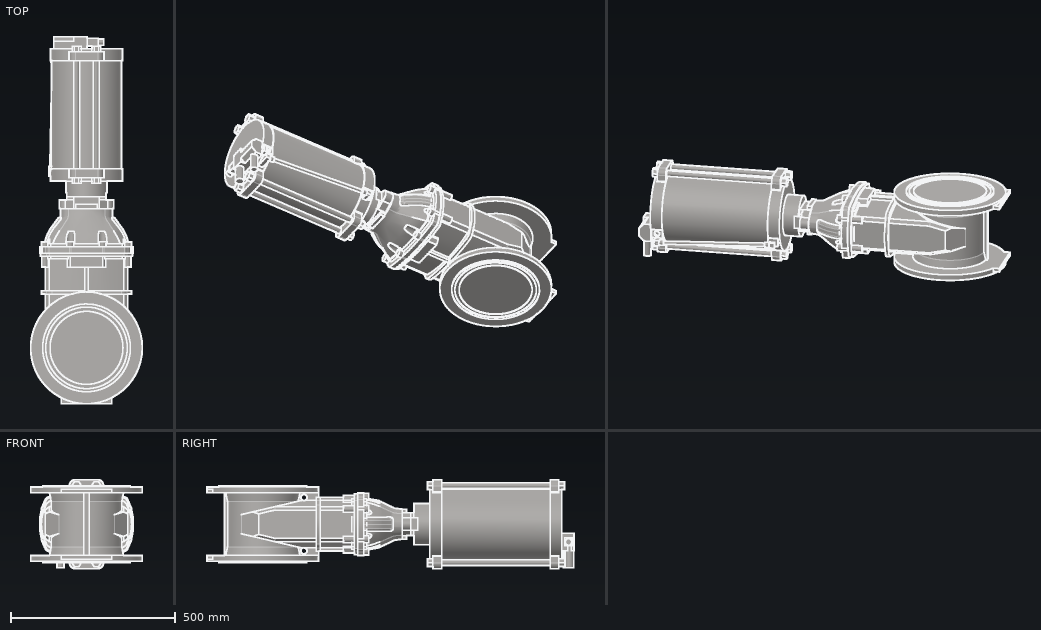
import cadquery as cq
import math


FLANGE_RADIUS = 170.0
FACE_HALF = 116.5
RAISED_FACE_RADIUS = 133.5
RAISED_FACE_HEIGHT = 3.5
FLANGE_THICKNESS = 18.0
FLANGE_RIM_Z = FACE_HALF - RAISED_FACE_HEIGHT
FLANGE_BACK_Z = FLANGE_RIM_Z - FLANGE_THICKNESS
GROOVE_OUTER_RADIUS = 124.0
GROOVE_INNER_RADIUS = 111.0
GROOVE_DEPTH = 2.0
BARREL_RADIUS = 107.5
BARREL_END_RADIUS = 113.0
BARREL_HALF = 69.0
FOOT_HALF_WIDTH = 77.0
FOOT_THICKNESS = 11.0
FOOT_INNER_Y = -140.0
FRONT_RIB_HALF_WIDTH = 8.5
FRONT_RIB_REACH = 117.0

HOUSING_HALF_X = 126.0
HOUSING_SIDE_HALF_Z = 43.0
HOUSING_SHOULDER_X = 113.0
HOUSING_SHOULDER_Z = 53.0
HOUSING_CROWN_Z = 72.0
HOUSING_TAPER_Y = 117.0
HOUSING_KNEE_Y = -13.0
HOUSING_END_Y = -100.0
HOUSING_END_HALF_Z = 21.0
BAND_Y = (163.0, 174.0)
BAND_HALF_X = 137.0
BAND_HALF_Z = 82.0
BAND_CORNER = 25.0
CENTRE_WEB_HALF_WIDTH = 6.0
CENTRE_WEB_HALF_Z = 82.0
LUG_WEB_Y = (112.0, 170.0)
LUG_HOLE_Y = 125.0
LUG_HOLE_Z = 81.0
LUG_HOLE_RADIUS = 9.0

JOINT_Y = (278.0, 307.0)
JOINT_SPLIT_Y = 288.0
JOINT_HALF_X = 143.0
JOINT_HALF_Z = 96.0
PLINTH_Y = (271.0, 316.0)
PLINTH_HALF_X = 128.0
PLINTH_HALF_Z = 80.0
JOINT_STEP = 3.0
JOINT_CORNER = 14.0
ARCH_CORNER = 0.85
BOLT_PLACES = ((49.0, 83.0), (126.0, 46.0))
BOLT_HEAD_RADIUS = 11.0
BOLT_HEAD_HEIGHT = 15.0
BOSS_RADIUS = 10.0
BOSS_END_Y = 245.0
PAD_HALF_WIDTH = 58.0
PAD_FACE_HALF_WIDTH = 49.0
PAD_HALF_Z = 88.0
BOLT_POCKET_RADIUS = 14.0
BOLT_POCKET_INSET = 6.0
BOLT_POCKET_END_Y = 355.0

DOME_SECTIONS = (
    (307.0, 124.0, 79.0, ARCH_CORNER),
    (335.0, 118.0, 76.5, 0.80),
    (360.0, 106.0, 69.0, 0.75),
    (382.0, 90.0, 58.0, 0.72),
    (397.0, 80.0, 50.0, 0.71),
    (423.0, 79.0, 46.0, 0.71),
)
SIDE_RIB_HALF_Z = 22.0
SIDE_RIB_HEIGHT = 5.0
SIDE_RIB_ROUND = 12.0
SIDE_RIB_EDGE = 10.0

NECK_FLANGE_Y = (423.0, 450.0)
NECK_FLANGE_HALF_X = 83.0
EAR_RADIUS = 19.0
GLAND_FOOT_HALF_X = 33.0
GLAND_FOOT_HALF_Z = 46.0
GLAND_FOOT_END_Y = 437.0
GLAND_HALF_X = 39.0
GLAND_HALF_Z = 35.0
STEM_HOUSING_RADIUS = 63.0
STEM_HOUSING_END_Y = 459.0
STEM_FLAT_X = 60.0
STEM_FLAT_END_Y = 471.0

TUBE_Y = (544.0, 873.0)
TUBE_RADIUS = 107.0
CAP_RADIUS = 110.0
FRONT_CAP_START_Y = 507.0
REAR_CAP_END_Y = 909.0
ROD_X = 30.0
ROD_Z = 117.0
ROD_RADIUS = 9.0
NUT_DIAMETER = 28.0
NUT_HEIGHT = 17.0
LUG_LENGTH = 27.0
LUG_TOP_Z = 135.5
LUG_BASE_Z = 85.0
LUG_BASE_HALF_X = 62.0
LUG_HALF_X = 52.0
LUG_SHOULDER_Z = 98.0
LUG_CORNER = 18.0

VALVE_END_Y = 946.0
VALVE_X = (-100.0, 2.0)
VALVE_Z = (-81.0, -27.0)
VALVE_STEP_X = -38.0
VALVE_BEVEL = 15.0
COIL_X = -79.0
COIL_Y = 924.0
COIL_RADIUS = 11.0
COIL_END_Z = -133.0
SECOND_COIL_X = -10.0
SECOND_COIL_Y = 932.0
SECOND_COIL_RADIUS = 13.0
CONNECTOR_X = (2.0, 36.0)
CONNECTOR_HALF_SIZE = 12.0
CONNECTOR_Y = 929.0
CONNECTOR_Z = -54.0
CONNECTOR_TIP_X = 53.0
CONNECTOR_TIP_RADIUS = 10.0
AIR_LINE_REAR = (-100.0, 890.0, -83.0)
AIR_LINE_FRONT = (-107.0, 530.0, -61.0)
AIR_LINE_RADIUS = 5.0
ELBOW_SIZE = 16.0
ELBOW_X_INNER = -60.0
FERRULE_RADIUS = 8.0
FERRULE_LENGTH = 22.0
PORT_BLOCK_X = (-105.0, -60.0)
PORT_BLOCK_Z = (-66.0, -41.0)
PORT_RADIUS = 8.0
PORT_DEPTH = 8.0
FRONT_PORT_Y = (513.0, TUBE_Y[0])
REAR_PORT_Y = (TUBE_Y[1], 905.0)


def mirrored(shape, plane):
    """The shape together with its mirror image."""
    return shape.union(shape.mirror(plane))


def box(x_range, y_range, z_range):
    """Box between the given limits."""
    sizes = [limits[1] - limits[0] for limits in (x_range, y_range, z_range)]
    corner = (x_range[0], y_range[0], z_range[0])
    return cq.Workplane("XY", origin=corner).box(*sizes, centered=False)


def section_at(y):
    """Sketch plane across the stem axis at height y; local axes are X and Z."""
    return cq.Workplane("XZ", origin=(0, y, 0))


def stem_disc(radius, y_start, y_end, x=0.0, z=0.0):
    """Cylinder parallel to the stem axis."""
    return section_at(y_start).center(x, z).circle(radius).extrude(y_start - y_end)


def flow_disc(radius, z_start, z_end):
    """Cylinder along the flow axis."""
    return cq.Workplane("XY", origin=(0, 0, z_start)).circle(radius).extrude(z_end - z_start)


def arched_outline(plane, half_x, half_z, corner_share=ARCH_CORNER):
    """Rectangle whose four sides bulge outward as arcs."""
    corner_x = half_x * corner_share
    corner_z = half_z * corner_share
    return (
        plane.moveTo(corner_x, -corner_z)
        .threePointArc((half_x, 0), (corner_x, corner_z))
        .threePointArc((0, half_z), (-corner_x, corner_z))
        .threePointArc((-half_x, 0), (-corner_x, -corner_z))
        .threePointArc((0, -half_z), (corner_x, -corner_z))
        .close()
    )


def pipe_flange():
    """Upper flange with raised face, sealing groove and foot."""
    flange = flow_disc(FLANGE_RADIUS, FLANGE_BACK_Z, FLANGE_RIM_Z)
    flange = flange.union(flow_disc(RAISED_FACE_RADIUS, FLANGE_BACK_Z, FACE_HALF))
    groove = flow_disc(GROOVE_OUTER_RADIUS, FACE_HALF - GROOVE_DEPTH, FACE_HALF)
    groove = groove.cut(flow_disc(GROOVE_INNER_RADIUS, FACE_HALF - GROOVE_DEPTH, FACE_HALF))
    foot = box(
        (-FOOT_HALF_WIDTH, FOOT_HALF_WIDTH),
        (-FLANGE_RADIUS, FOOT_INNER_Y),
        (FLANGE_BACK_Z, FLANGE_BACK_Z + FOOT_THICKNESS),
    )
    return flange.cut(groove).union(foot)


def barrel():
    """Flow barrel, flaring toward both flanges, with a rib down its front."""
    profile = (
        cq.Workplane("XZ")
        .polyline([
            (0, -FLANGE_BACK_Z),
            (BARREL_END_RADIUS, -FLANGE_BACK_Z),
            (BARREL_RADIUS, -BARREL_HALF),
            (BARREL_RADIUS, BARREL_HALF),
            (BARREL_END_RADIUS, FLANGE_BACK_Z),
            (0, FLANGE_BACK_Z),
        ])
        .close()
    )
    rib = box(
        (-FRONT_RIB_HALF_WIDTH, FRONT_RIB_HALF_WIDTH),
        (-FRONT_RIB_REACH, 0),
        (-FLANGE_BACK_Z, FLANGE_BACK_Z),
    )
    return profile.revolve(360, (0, 0), (0, 1)).union(rib)


def tapered_side(x):
    """Side outline of the housing in the plane at x, with its height shrinking toward the barrel."""
    end_y = JOINT_Y[1]
    return (
        cq.Workplane("YZ", origin=(x, 0, 0))
        .polyline([
            (end_y, HOUSING_CROWN_Z),
            (HOUSING_TAPER_Y, HOUSING_CROWN_Z),
            (HOUSING_END_Y, HOUSING_END_HALF_Z),
            (HOUSING_END_Y, -HOUSING_END_HALF_Z),
            (HOUSING_TAPER_Y, -HOUSING_CROWN_Z),
            (end_y, -HOUSING_CROWN_Z),
        ])
        .close()
    )


def gate_housing():
    """Arched box from the bonnet joint, tapering into the barrel sides."""
    top_y = JOINT_Y[0]
    blank = (
        section_at(top_y)
        .moveTo(HOUSING_HALF_X, -HOUSING_SIDE_HALF_Z)
        .lineTo(HOUSING_HALF_X, HOUSING_SIDE_HALF_Z)
        .lineTo(HOUSING_SHOULDER_X, HOUSING_SHOULDER_Z)
        .threePointArc((0, HOUSING_CROWN_Z), (-HOUSING_SHOULDER_X, HOUSING_SHOULDER_Z))
        .lineTo(-HOUSING_HALF_X, HOUSING_SIDE_HALF_Z)
        .lineTo(-HOUSING_HALF_X, -HOUSING_SIDE_HALF_Z)
        .lineTo(-HOUSING_SHOULDER_X, -HOUSING_SHOULDER_Z)
        .threePointArc((0, -HOUSING_CROWN_Z), (HOUSING_SHOULDER_X, -HOUSING_SHOULDER_Z))
        .close()
        .extrude(top_y - HOUSING_END_Y)
    )
    knee_distance = math.hypot(HOUSING_HALF_X, HOUSING_KNEE_Y)
    tip_angle = math.atan2(HOUSING_KNEE_Y, HOUSING_HALF_X) - math.acos(BARREL_RADIUS / knee_distance)
    tip_x = BARREL_RADIUS * math.cos(tip_angle)
    tip_y = BARREL_RADIUS * math.sin(tip_angle)
    plan = (
        cq.Workplane("XY")
        .polyline([
            (HOUSING_HALF_X, top_y),
            (HOUSING_HALF_X, HOUSING_KNEE_Y),
            (tip_x, tip_y),
            (-tip_x, tip_y),
            (-HOUSING_HALF_X, HOUSING_KNEE_Y),
            (-HOUSING_HALF_X, top_y),
        ])
        .close()
        .extrude(HOUSING_CROWN_Z, both=True)
    )
    core = tapered_side(0).extrude(HOUSING_SHOULDER_X)
    edge_width = HOUSING_HALF_X - HOUSING_SHOULDER_X
    edge_drop = HOUSING_SHOULDER_Z - HOUSING_SIDE_HALF_Z
    edge_angle = math.degrees(math.atan2(edge_drop, edge_width))
    bevelled_edge = tapered_side(HOUSING_SHOULDER_X).extrude(edge_width, taper=edge_angle)
    return blank.intersect(plan).intersect(mirrored(core.union(bevelled_edge), "YZ"))


def housing_ribs():
    """Band around the housing, web along its centre and lifting lugs under the flanges."""
    band = arched_outline(section_at(BAND_Y[1]), BAND_HALF_X, BAND_HALF_Z)
    band = band.extrude(BAND_Y[1] - BAND_Y[0]).edges("|Y").fillet(BAND_CORNER)
    web_x = (-CENTRE_WEB_HALF_WIDTH, CENTRE_WEB_HALF_WIDTH)
    centre_web = box(web_x, (BAND_Y[0], JOINT_Y[0]), (-CENTRE_WEB_HALF_Z, CENTRE_WEB_HALF_Z))
    lug_web = box(web_x, (0, LUG_WEB_Y[1]), (-FLANGE_BACK_Z, FLANGE_BACK_Z))
    holes = (
        cq.Workplane("YZ")
        .pushPoints([(LUG_HOLE_Y, LUG_HOLE_Z), (LUG_HOLE_Y, -LUG_HOLE_Z)])
        .circle(LUG_HOLE_RADIUS)
        .extrude(HOUSING_HALF_X, both=True)
    )
    return band.union(centre_web).union(lug_web).cut(holes)


def bonnet_joint():
    """Two bolted plates with pads and bosses on the housing side."""
    lower = arched_outline(
        section_at(JOINT_SPLIT_Y), JOINT_HALF_X - JOINT_STEP, JOINT_HALF_Z - JOINT_STEP
    ).extrude(JOINT_SPLIT_Y - JOINT_Y[0])
    upper = arched_outline(section_at(JOINT_Y[1]), JOINT_HALF_X, JOINT_HALF_Z)
    upper = upper.extrude(JOINT_Y[1] - JOINT_SPLIT_Y)
    joint = lower.edges("|Y").fillet(JOINT_CORNER).union(upper.edges("|Y").fillet(JOINT_CORNER))
    plinth = arched_outline(section_at(PLINTH_Y[1]), PLINTH_HALF_X, PLINTH_HALF_Z)
    joint = joint.union(plinth.extrude(PLINTH_Y[1] - PLINTH_Y[0]))
    pad = (
        section_at(JOINT_Y[0])
        .polyline([
            (-PAD_HALF_WIDTH, 0),
            (PAD_HALF_WIDTH, 0),
            (PAD_HALF_WIDTH, HOUSING_CROWN_Z),
            (PAD_FACE_HALF_WIDTH, PAD_HALF_Z),
            (-PAD_FACE_HALF_WIDTH, PAD_HALF_Z),
            (-PAD_HALF_WIDTH, HOUSING_CROWN_Z),
        ])
        .close()
        .extrude(JOINT_Y[0] - BOSS_END_Y)
    )
    side_x, side_z = BOLT_PLACES[1]
    boss = stem_disc(BOSS_RADIUS, BOSS_END_Y, JOINT_Y[0], side_x, side_z)
    bosses = mirrored(mirrored(boss, "YZ"), "XY")
    return joint.union(mirrored(pad, "XY")).union(bosses)


def bonnet_bolts():
    """Bolt heads on the dome side of the joint."""
    head_end = JOINT_Y[1] + BOLT_HEAD_HEIGHT
    heads = cq.Workplane()
    for x, z in BOLT_PLACES:
        heads = heads.union(stem_disc(BOLT_HEAD_RADIUS, JOINT_SPLIT_Y, head_end, x, z))
    return mirrored(mirrored(heads, "YZ"), "XY")


def dome():
    """Bonnet dome with a rounded rib on each side."""
    base_y = DOME_SECTIONS[0][0]
    loft = section_at(base_y)
    previous_y = base_y
    for y, half_x, half_z, corner_share in DOME_SECTIONS:
        plane = loft.workplane(offset=previous_y - y)
        loft = arched_outline(plane, half_x, half_z, corner_share)
        previous_y = y
    shell = loft.loft(combine=True)

    right_edge = [(half_x + SIDE_RIB_HEIGHT, y) for y, half_x, _, _ in DOME_SECTIONS[:-1]]
    left_edge = [(-x, y) for x, y in reversed(right_edge)]
    rib = cq.Workplane("XY").moveTo(*right_edge[0]).spline(right_edge[1:], includeCurrent=True)
    rib = rib.lineTo(*left_edge[0]).spline(left_edge[1:], includeCurrent=True).close()
    rib = rib.extrude(SIDE_RIB_HALF_Z, both=True)
    rib_top = box(
        (-JOINT_HALF_X, JOINT_HALF_X),
        (base_y, right_edge[-1][1]),
        (-SIDE_RIB_HALF_Z, SIDE_RIB_HALF_Z),
    )
    rib = rib.intersect(rib_top.edges("|X and >Y").fillet(SIDE_RIB_ROUND))
    rib = rib.edges("(>Z or <Z) and (not |X)").fillet(SIDE_RIB_EDGE)
    return shell.union(rib)


def bolt_pockets():
    """Round clearance pockets in the dome above the bolt heads."""
    pockets = cq.Workplane()
    for x, z in BOLT_PLACES:
        pocket = stem_disc(BOLT_POCKET_RADIUS, PLINTH_Y[1], BOLT_POCKET_END_Y, x, z - BOLT_POCKET_INSET)
        pockets = pockets.union(pocket)
    return mirrored(mirrored(pockets, "YZ"), "XY")


def neck_flange():
    """Flange with two ears on top of the dome, and the gland in its middle."""
    base_y, top_y = NECK_FLANGE_Y
    ear_x = NECK_FLANGE_HALF_X - EAR_RADIUS
    flange = (
        section_at(top_y)
        .moveTo(ear_x, EAR_RADIUS)
        .threePointArc((NECK_FLANGE_HALF_X, 0), (ear_x, -EAR_RADIUS))
        .lineTo(GLAND_HALF_X, -GLAND_HALF_Z)
        .lineTo(-GLAND_HALF_X, -GLAND_HALF_Z)
        .lineTo(-ear_x, -EAR_RADIUS)
        .threePointArc((-NECK_FLANGE_HALF_X, 0), (-ear_x, EAR_RADIUS))
        .lineTo(-GLAND_HALF_X, GLAND_HALF_Z)
        .lineTo(GLAND_HALF_X, GLAND_HALF_Z)
        .close()
        .extrude(top_y - base_y)
    )
    gland = box(
        (-GLAND_HALF_X, GLAND_HALF_X),
        (base_y, STEM_HOUSING_END_Y),
        (-GLAND_HALF_Z, GLAND_HALF_Z),
    )
    foot = box(
        (-GLAND_FOOT_HALF_X, GLAND_FOOT_HALF_X),
        (base_y, GLAND_FOOT_END_Y),
        (-GLAND_FOOT_HALF_Z, GLAND_FOOT_HALF_Z),
    )
    return flange.union(gland).union(foot)


def stem_housing():
    """Round housing between gland and cylinder, flat on each side and keyed to the ears."""
    housing = stem_disc(STEM_HOUSING_RADIUS, STEM_HOUSING_END_Y, FRONT_CAP_START_Y)
    flat = box(
        (STEM_FLAT_X, STEM_HOUSING_RADIUS),
        (STEM_HOUSING_END_Y, STEM_FLAT_END_Y),
        (-STEM_HOUSING_RADIUS, STEM_HOUSING_RADIUS),
    )
    key = box(
        (-STEM_FLAT_X, STEM_FLAT_X),
        (NECK_FLANGE_Y[1], STEM_HOUSING_END_Y),
        (-EAR_RADIUS, EAR_RADIUS),
    )
    return housing.cut(mirrored(flat, "YZ")).union(key)


def cap_lug(y_start):
    """Lug on the upper edge of a cylinder cap, holding two tie rods."""
    return (
        section_at(y_start)
        .polyline([
            (-LUG_BASE_HALF_X, LUG_BASE_Z),
            (LUG_BASE_HALF_X, LUG_BASE_Z),
            (LUG_HALF_X, LUG_SHOULDER_Z),
            (LUG_HALF_X, LUG_TOP_Z),
            (-LUG_HALF_X, LUG_TOP_Z),
            (-LUG_HALF_X, LUG_SHOULDER_Z),
        ])
        .close()
        .extrude(-LUG_LENGTH)
        .edges("|Y and >Z")
        .fillet(LUG_CORNER)
    )


def tie_rod():
    """Upper right tie rod with a hexagon nut on each lug."""
    front_nut_y = TUBE_Y[0] - LUG_LENGTH
    rear_nut_y = TUBE_Y[1] + LUG_LENGTH
    rod = stem_disc(ROD_RADIUS, front_nut_y, rear_nut_y, ROD_X, ROD_Z)
    for nut_end_y in (front_nut_y, rear_nut_y + NUT_HEIGHT):
        nut = section_at(nut_end_y).center(ROD_X, ROD_Z).polygon(6, NUT_DIAMETER)
        rod = rod.union(nut.extrude(NUT_HEIGHT))
    return rod


def cylinder():
    """Pneumatic cylinder: tube, two caps, lugs and four tie rods."""
    body = stem_disc(TUBE_RADIUS, *TUBE_Y)
    body = body.union(stem_disc(CAP_RADIUS, FRONT_CAP_START_Y, TUBE_Y[0]))
    body = body.union(stem_disc(CAP_RADIUS, TUBE_Y[1], REAR_CAP_END_Y))
    upper = cap_lug(TUBE_Y[0] - LUG_LENGTH).union(cap_lug(TUBE_Y[1]))
    upper = upper.union(mirrored(tie_rod(), "YZ"))
    return body.union(mirrored(upper, "XY"))


def solenoid_valve():
    """Valve block on the rear cap with two coils pointing down and a connector on the side."""
    valve_y = (REAR_CAP_END_Y, VALVE_END_Y)
    pilot = box((VALVE_X[0], VALVE_STEP_X), valve_y, VALVE_Z)
    pilot = pilot.edges("|X and >Y").chamfer(VALVE_BEVEL)
    valve = pilot.union(box((VALVE_STEP_X, VALVE_X[1]), valve_y, VALVE_Z))
    coils = (
        (COIL_X, COIL_Y, COIL_RADIUS),
        (SECOND_COIL_X, SECOND_COIL_Y, SECOND_COIL_RADIUS),
    )
    for x, y, radius in coils:
        coil = cq.Workplane("XY", origin=(x, y, COIL_END_Z)).circle(radius)
        valve = valve.union(coil.extrude(VALVE_Z[0] + VALVE_BEVEL - COIL_END_Z))
    connector = box(
        CONNECTOR_X,
        (CONNECTOR_Y - CONNECTOR_HALF_SIZE, CONNECTOR_Y + CONNECTOR_HALF_SIZE),
        (CONNECTOR_Z - CONNECTOR_HALF_SIZE, CONNECTOR_Z + CONNECTOR_HALF_SIZE),
    )
    tip = cq.Workplane("YZ", origin=(CONNECTOR_X[0], CONNECTOR_Y, CONNECTOR_Z))
    tip = tip.circle(CONNECTOR_TIP_RADIUS).extrude(CONNECTOR_TIP_X - CONNECTOR_X[0])
    return valve.union(connector).union(tip)


def air_line():
    """Slanted air pipe beside the cylinder, ending in a block on each cap."""
    rear = cq.Vector(*AIR_LINE_REAR)
    front = cq.Vector(*AIR_LINE_FRONT)
    run = rear - front
    line = cq.Workplane(cq.Solid.makeCylinder(AIR_LINE_RADIUS, run.Length, front, run))
    for end, direction in ((front, run), (rear, run * -1)):
        ferrule = cq.Solid.makeCylinder(FERRULE_RADIUS, FERRULE_LENGTH, end, direction)
        elbow = box(
            (end.x - ELBOW_SIZE / 2, ELBOW_X_INNER),
            (end.y - ELBOW_SIZE / 2, end.y + ELBOW_SIZE / 2),
            (end.z - ELBOW_SIZE / 2, end.z + ELBOW_SIZE / 2),
        )
        line = line.union(cq.Workplane(ferrule)).union(elbow)
    return line


def port_block(y_range):
    """Port block on the side of a cylinder cap."""
    return box(PORT_BLOCK_X, y_range, PORT_BLOCK_Z)


def with_air_ports(cylinder_body):
    """The cylinder with a port block on both caps, the rear one with an open port."""
    centre_y = sum(REAR_PORT_Y) / 2
    centre_z = sum(PORT_BLOCK_Z) / 2
    port = cq.Workplane("YZ", origin=(PORT_BLOCK_X[0], centre_y, centre_z))
    port = port.circle(PORT_RADIUS).extrude(PORT_DEPTH)
    return cylinder_body.union(port_block(FRONT_PORT_Y)).union(port_block(REAR_PORT_Y)).cut(port)


features = (
    mirrored(pipe_flange(), "XY"),
    gate_housing(),
    housing_ribs(),
    bonnet_joint(),
    dome().cut(bolt_pockets()),
    bonnet_bolts(),
    neck_flange(),
    stem_housing(),
    with_air_ports(cylinder()),
    solenoid_valve(),
    air_line(),
)
result = barrel()
for feature in features:
    result = result.union(feature)